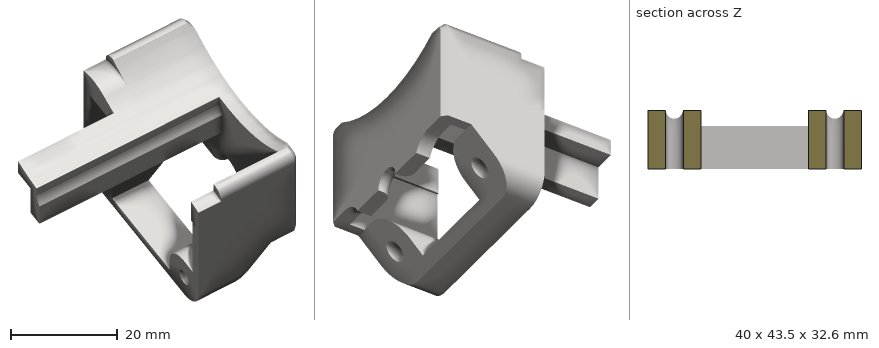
import cadquery as cq
import math

width = 40.0
height = 32.6
depth = 22.27
total_length = 43.5
wall = 2.1
back_wall = 3.0
floor = 2.0
back_chamfer = 1.0

lug_radius = 5.0
lug_x = width / 2 - lug_radius
lug_top = 2 * lug_radius
screw_hole_diameter = 3.2
lug_setback = 6.18

saddle_bottom = 27.0
land_x = 17.45
saddle_rise = height - saddle_bottom
saddle_radius = (land_x**2 + saddle_rise**2) / (2 * saddle_rise)

roof_underside = 24.95
rail_left = -9.45
stem_left = -5.05
stem_right = -2.0
stem_bottom = 17.55
roof_right = -3.0
stem_round_top = roof_underside
stem_round_bottom = 22.8
stem_round_bulge = 0.17

step_length = 5.0
crown_radius = 8.7
crown_end_x = 12.88

lip_bottom = 7.0
notch_radius = 3.0
notch_fillet = 2.0

margin = 4.35


def prism(sketch, y_front, y_back):
    """Extrude an XZ outline between two Y positions."""
    return sketch.extrude(y_front - y_back).translate((0, y_front, 0))


def block(x_min, x_max, y_min, y_max, z_min, z_max):
    box = cq.Workplane("XY").box(x_max - x_min, y_max - y_min, z_max - z_min, centered=False)
    return box.translate((x_min, y_min, z_min))


def cylinder(x, z, radius, y_front, y_back):
    return prism(cq.Workplane("XZ").center(x, z).circle(radius), y_front, y_back)


def outer_body():
    body = block(-width / 2, width / 2, 0, depth, 0, height)
    body = body.edges("|Y and <Z").fillet(lug_radius)
    body = body.edges("|Y and >Z").fillet(wall)
    return body.faces(">Y").edges("not <Z").chamfer(back_chamfer)


def opening():
    """Space enclosed by the side walls, the lugs and the floor, over the full depth."""
    inner_x = width / 2 - wall
    side = lug_radius * math.sqrt(0.5)
    slot_x = lug_x - lug_radius
    outline = (
        cq.Workplane("XZ")
        .moveTo(-slot_x, floor)
        .lineTo(slot_x, floor)
        .lineTo(slot_x, lug_radius)
        .threePointArc((lug_x - side, lug_radius + side), (lug_x, lug_top))
        .lineTo(inner_x, lug_top)
        .lineTo(inner_x, roof_underside)
        .lineTo(land_x, roof_underside)
        .lineTo(land_x, height + margin)
        .lineTo(roof_right, height + margin)
        .lineTo(roof_right, roof_underside)
        .lineTo(-inner_x, roof_underside)
        .lineTo(-inner_x, lug_top)
        .lineTo(-lug_x, lug_top)
        .threePointArc((side - lug_x, lug_radius + side), (-slot_x, lug_radius))
        .close()
    )
    return prism(outline, 0, depth)


def slope_cutter():
    """Removes the lower rear corner at 45 degrees, up to the top of the lugs."""
    slope_start = depth - lug_setback
    outline = (
        cq.Workplane("YZ")
        .moveTo(slope_start, lug_top)
        .lineTo(depth + margin, lug_top)
        .lineTo(depth + margin, -margin)
        .lineTo(slope_start - lug_top - margin, -margin)
        .close()
    )
    return outline.extrude(width, both=True)


def rail():
    mid_z = (stem_round_top + stem_round_bottom) / 2
    mid_x = (roof_right + stem_right) / 2 - stem_round_bulge
    outline = (
        cq.Workplane("XZ")
        .moveTo(rail_left, roof_underside)
        .lineTo(stem_left, roof_underside)
        .lineTo(stem_left, stem_bottom)
        .lineTo(stem_right, stem_bottom)
        .lineTo(stem_right, stem_round_bottom)
        .threePointArc((mid_x, mid_z), (roof_right, stem_round_top))
        .lineTo(roof_right, height)
        .lineTo(rail_left, height)
        .close()
    )
    return prism(outline, depth - total_length, depth - back_wall)


def crown_cutter(side):
    """Clears the space above a rounded crown; side is -1 for left, +1 for right."""
    centre_scale = (saddle_radius + crown_radius) / saddle_radius
    tangent_drop = math.sqrt(saddle_radius**2 - crown_end_x**2)
    crown_x = crown_end_x * centre_scale
    crown_z = saddle_bottom + saddle_radius - tangent_drop * centre_scale
    space = block(crown_end_x, width, 0, step_length, saddle_bottom, height)
    space = space.cut(cylinder(crown_x, crown_z, crown_radius, 0, step_length))
    return space if side > 0 else space.mirror("YZ")


def notch_cutter():
    """Half-round cable notch, flared by a fillet at the inner face of the back wall."""
    inner_face = depth - back_wall
    flare_radius = notch_radius + notch_fillet
    corner = notch_fillet * (1 - math.sqrt(0.5))
    profile = (
        cq.Workplane("XY")
        .moveTo(0, inner_face)
        .lineTo(flare_radius, inner_face)
        .threePointArc(
            (notch_radius + corner, inner_face + corner),
            (notch_radius, inner_face + notch_fillet),
        )
        .lineTo(notch_radius, depth)
        .lineTo(0, depth)
        .close()
    )
    return profile.revolve(360, (0, 0, 0), (0, 1, 0)).translate((0, 0, lip_bottom))


full_opening = opening()
cavity = full_opening.intersect(block(-width, width, 0, depth - back_wall, 0, height + margin))
lip = full_opening.intersect(block(-width, width, depth - back_wall, depth, lip_bottom, lug_top))

result = outer_body().cut(cavity).cut(slope_cutter()).union(lip).union(rail())

saddle_z = saddle_bottom + saddle_radius
result = result.cut(cylinder(0, saddle_z, saddle_radius, depth - total_length, depth))
for side in (-1, 1):
    screw_hole = cylinder(side * lug_x, lug_radius, screw_hole_diameter / 2, 0, depth - back_wall)
    result = result.cut(screw_hole)
    result = result.cut(crown_cutter(side))
result = result.cut(notch_cutter())